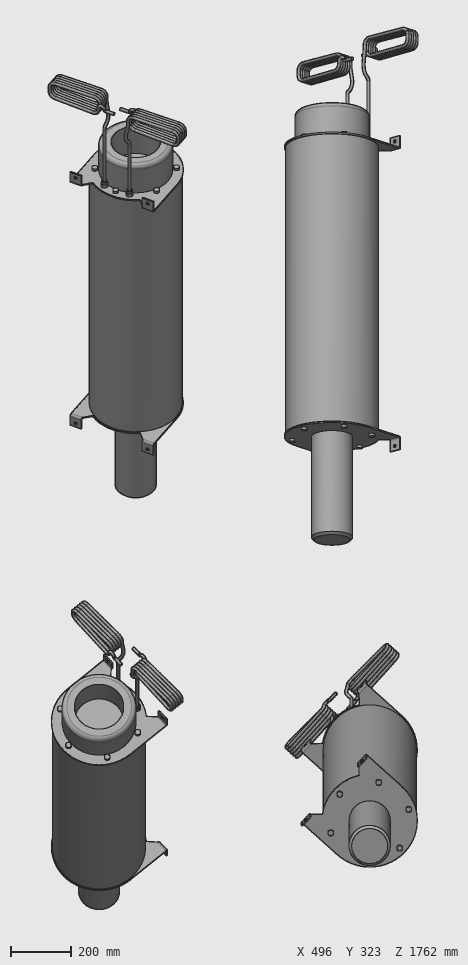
import cadquery as cq
import math

tail_dia = 137.0
tail_chamfer = 9.0
body_dia = 310.0
body_bottom = 365.0
body_top = 1365.0
neck_dia = 247.0
neck_top = 1489.0
neck_fillet = 15.0
bore_dia = 164.0

sheet = 5.0
plate_radius = 159.0
tab_front_y = -164.0
tab_width = 42.0
tab_height = 45.0
tab_hole_dia = 11.0
tab_hole_height = 30.0
bend_inner_radius = 2.0
bend_outer_radius = bend_inner_radius + sheet

screw_dia = 20.0
screw_height = 9.0
screw_count = 6
screw_circle_radius = 135.0

gland_dia = 20.0
gland_height = 21.0
gland_collar_dia = 23.0
gland_collar_height = 12.0
gland_x = 48.0
gland_y = -127.0

cable_dia = 11.0
coil_turns = 5
coil_pitch = 11.1
coil_outer_x = 248.0
coil_width = 200.0
coil_height = 70.0
coil_corner_radius = 21.0
left_coil_top = 1762
right_coil_top = 1735.0
left_start_offset = 26.0
right_start_offset = 23.0

rise_end_drop = 111.0
rise_bend = [(2.0, 10.0, 92.0), (4.0, 20.0, 67.0)]

free_end_bend = [(40.0, 14.0), (32.0, 5.0)]
free_end_straight_x = 21.0
free_end_tip_x = -5.0
free_end_drop = 4.0

plate_top = body_top + sheet
gland_top = plate_top + gland_height

coil_center_x = coil_outer_x - coil_width / 2
coil_half_width = (coil_width - cable_dia) / 2
coil_half_height = (coil_height - cable_dia) / 2


def cylinder(diameter, z_start, z_end):
    return cq.Workplane("XY").workplane(offset=z_start).circle(diameter / 2).extrude(z_end - z_start)


def bent_tab():
    """Left-hand wing of an end plate whose underside is z = 0, with its tab bent upward."""
    bend_y = tab_front_y + bend_outer_radius
    inner_x = tab_width - plate_radius
    bend_mid = bend_outer_radius * (1 - math.sqrt(0.5))
    inner_mid = bend_outer_radius - bend_inner_radius * math.sqrt(0.5)
    tab = (
        cq.Workplane("YZ", origin=(-plate_radius, 0, 0))
        .moveTo(bend_y, 0)
        .threePointArc((tab_front_y + bend_mid, bend_mid), (tab_front_y, bend_outer_radius))
        .lineTo(tab_front_y, tab_height)
        .lineTo(tab_front_y + sheet, tab_height)
        .lineTo(tab_front_y + sheet, bend_outer_radius)
        .threePointArc((tab_front_y + inner_mid, inner_mid), (bend_y, sheet))
        .close()
        .extrude(tab_width)
    )
    wing = (
        cq.Workplane("XY")
        .polyline([(-plate_radius, 0), (-plate_radius, bend_y), (inner_x, bend_y), (inner_x - bend_y, 0)])
        .close()
        .extrude(sheet)
    )
    hole = (
        cq.Workplane("XZ", origin=(inner_x - tab_width / 2, tab_front_y, tab_hole_height))
        .circle(tab_hole_dia / 2)
        .extrude(-sheet)
    )
    return wing.union(tab).cut(hole)


def end_plate():
    """Round plate with its underside at z = 0, two mounting tabs and a ring of screw heads on top."""
    wing = bent_tab()
    screws = (
        cq.Workplane("XY")
        .workplane(offset=sheet)
        .polarArray(screw_circle_radius, 90, 360, screw_count)
        .circle(screw_dia / 2)
        .extrude(screw_height)
    )
    plate = cylinder(2 * plate_radius, 0, sheet)
    return plate.union(wing).union(wing.mirror("YZ")).union(screws)


def cable_gland():
    collar = cylinder(gland_collar_dia, plate_top, plate_top + gland_collar_height)
    return cylinder(gland_dia, plate_top, gland_top).union(collar)


def make_housing():
    tail = cylinder(tail_dia, 0, body_bottom).faces("<Z").chamfer(tail_chamfer)
    neck = cylinder(neck_dia, body_top, neck_top).faces(">Z").edges().fillet(neck_fillet)
    upper_plate = end_plate().translate((0, 0, body_top))
    lower_plate = end_plate().mirror("XY").translate((0, 0, body_bottom))
    housing = cylinder(body_dia, body_bottom, body_top)
    housing = housing.union(tail).union(neck).union(upper_plate).union(lower_plate)
    for side in (-1, 1):
        housing = housing.union(cable_gland().translate((side * gland_x, gland_y, 0)))
    return housing.cut(cylinder(bore_dia, plate_top, neck_top))


def make_cable(side, coil_top, start_offset):
    """Cable rising from a gland (side -1 left, +1 right) into a coil that ends in a free end.

    The coil is a helix of constant slope on a rounded rectangle; its turns start at the foot of
    the inner side and run up, outward, down and back.
    """
    coil_z = coil_top - coil_height / 2

    def place(outward, sideways, z):
        return cq.Vector(side * outward, gland_y - side * sideways, z)

    def direction(outward, sideways, z):
        return cq.Vector(side * outward, -side * sideways, z)

    reach_x = coil_half_width - coil_corner_radius
    reach_z = coil_half_height - coil_corner_radius
    corner_length = coil_corner_radius * math.pi / 2
    slope = -coil_pitch / (4 * (reach_x + reach_z + corner_length))

    corners = [
        (-reach_x, reach_z, 180, 2 * reach_z),
        (reach_x, reach_z, 90, 2 * reach_x),
        (reach_x, -reach_z, 0, 2 * reach_z),
        (-reach_x, -reach_z, -90, 2 * reach_x),
    ]

    def corner_point(center_x, center_z, degrees, sideways):
        angle = math.radians(degrees)
        outward = coil_center_x + center_x + coil_corner_radius * math.cos(angle)
        return place(outward, sideways, coil_z + center_z + coil_corner_radius * math.sin(angle))

    def corner_heading(degrees):
        angle = math.radians(degrees)
        return direction(math.sin(angle), slope, -math.cos(angle))

    inner_x = coil_center_x - coil_half_width
    coil_start = place(inner_x, start_offset, coil_z - reach_z)
    end = coil_start
    sideways = start_offset
    coil_edges = []
    for _ in range(coil_turns):
        for center_x, center_z, degrees, run_length in corners:
            sideways += slope * run_length
            corner = [
                corner_point(center_x, center_z, degrees - 90 * step, sideways + slope * corner_length * step)
                for step in (0, 0.25, 0.5, 0.75, 1)
            ]
            headings = [corner_heading(degrees), corner_heading(degrees - 90)]
            coil_edges.append(cq.Edge.makeLine(end, corner[0]))
            coil_edges.append(cq.Edge.makeSpline(corner, tangents=headings))
            sideways += slope * corner_length
            end = corner[-1]

    upward = direction(0, 0, 1)
    along_side = corner_heading(180)
    gland_exit = place(gland_x, 0, gland_top)
    rise_end = place(gland_x, 0, coil_z - rise_end_drop)
    lead = [rise_end]
    for shift, along, drop in rise_bend:
        lead.append(place(gland_x - shift, along, coil_z - drop))
    lead.append(coil_start)
    rise_edges = [
        cq.Edge.makeLine(gland_exit, rise_end),
        cq.Edge.makeSpline(lead, tangents=[upward, along_side]),
    ]

    tip_z = coil_z - free_end_drop
    straight_start = place(free_end_straight_x, sideways, tip_z)
    s_bend = [end]
    for x, height in free_end_bend:
        s_bend.append(place(x, sideways, tip_z + height))
    s_bend.append(straight_start)
    inward = direction(-1, 0, 0)
    free_edges = [
        cq.Edge.makeSpline(s_bend, tangents=[along_side, inward]),
        cq.Edge.makeLine(straight_start, place(free_end_tip_x, sideways, tip_z)),
    ]
    path = cq.Wire.assembleEdges(rise_edges + coil_edges + free_edges)
    section = cq.Workplane("XY", origin=gland_exit.toTuple()).circle(cable_dia / 2)
    return section.sweep(cq.Workplane(path))


housing = make_housing()
cables = [
    make_cable(-1, left_coil_top, left_start_offset),
    make_cable(1, right_coil_top, right_start_offset),
]
result = cq.Compound.makeCompound([housing.val(), *[cable.val() for cable in cables]])